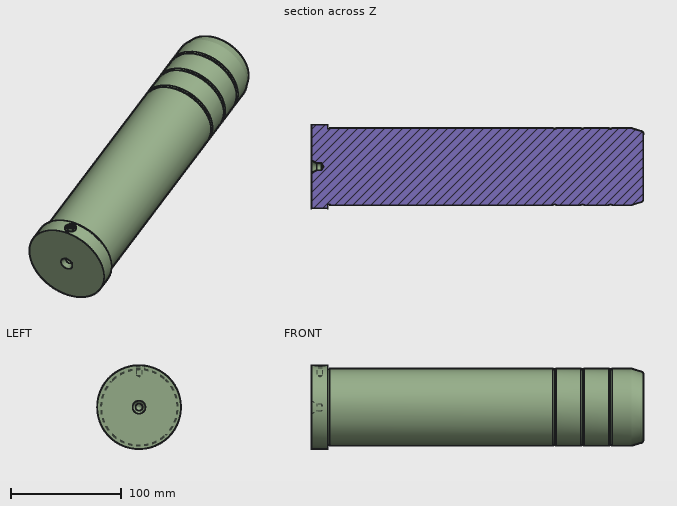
import cadquery as cq
import math

length = 300.0
head_diameter = 76.0
head_length = 15.0
shaft_diameter = 70.0

undercut_width = 1.8
undercut_depth = 0.5

groove_count = 3
groove_pitch = 25.2
first_groove_x = 219.5
groove_width = 3.0
groove_depth = 1.0

taper_length = 10.8
taper_drop = 2.5
nose_radius = 3.3

centre_mouth_diameter = 11.7
centre_drill_diameter = 6.3
centre_cone_angle = 60.0
centre_drill_depth = 9.0
drill_point_angle = 120.0

rim_hole_x = head_length / 2
rim_mouth_diameter = 10.8
rim_bore_diameter = 9.0
rim_chamfer = (rim_mouth_diameter - rim_bore_diameter) / 2
rim_bore_depth = 2.5
rim_drill_diameter = 4.8
rim_drill_depth = 9.0



def make_body():
    """Revolve the head, undercut, shaft and tapered nose about X."""
    head_r = head_diameter / 2
    shaft_r = shaft_diameter / 2
    neck_r = shaft_r - undercut_depth
    undercut_end = head_length + undercut_width
    taper_start = length - taper_length
    nose_start = length - nose_radius
    nose_r = shaft_r - taper_drop
    diagonal = nose_radius * math.sqrt(0.5)
    return (
        cq.Workplane("XY")
        .lineTo(0, head_r)
        .lineTo(head_length, head_r)
        .lineTo(head_length, neck_r)
        .lineTo(undercut_end, neck_r)
        .lineTo(undercut_end, shaft_r)
        .lineTo(taper_start, shaft_r)
        .lineTo(nose_start, nose_r)
        .threePointArc(
            (nose_start + diagonal, nose_r - nose_radius + diagonal),
            (length, nose_r - nose_radius),
        )
        .lineTo(length, 0)
        .close()
        .revolve(360, (0, 0, 0), (1, 0, 0))
    )


def make_groove(x):
    """Ring cutter with a V section, centred at x."""
    shaft_r = shaft_diameter / 2
    clear_r = shaft_r + groove_depth
    half = groove_width / 2
    return (
        cq.Workplane("XY")
        .moveTo(x - half, clear_r)
        .lineTo(x - half, shaft_r)
        .lineTo(x, shaft_r - groove_depth)
        .lineTo(x + half, shaft_r)
        .lineTo(x + half, clear_r)
        .close()
        .revolve(360, (0, 0, 0), (1, 0, 0))
    )


def make_drill(diameter, depth):
    """Plain drill along +X from the origin, ending in a drill point."""
    radius = diameter / 2
    point_length = radius / math.tan(math.radians(drill_point_angle / 2))
    return (
        cq.Workplane("XY")
        .lineTo(0, radius)
        .lineTo(depth, radius)
        .lineTo(depth + point_length, 0)
        .close()
        .revolve(360, (0, 0, 0), (1, 0, 0))
    )


def make_countersink(mouth_diameter, end_diameter, depth):
    """Cone along +X from the origin, narrowing with depth."""
    cone = cq.Solid.makeCone(
        mouth_diameter / 2, end_diameter / 2, depth, dir=cq.Vector(1, 0, 0)
    )
    return cq.Workplane(cone)


def stand_on_rim(cutter):
    """Turn a cutter from +X to -Z and put its mouth on the top of the head rim."""
    turned = cutter.rotate((0, 0, 0), (0, 1, 0), 90)
    return turned.translate((rim_hole_x, 0, head_diameter / 2))


result = make_body()

for index in range(groove_count):
    result = result.cut(make_groove(first_groove_x + index * groove_pitch))

centre_cone_depth = (centre_mouth_diameter - centre_drill_diameter) / 2 / math.tan(
    math.radians(centre_cone_angle / 2)
)
result = result.cut(make_drill(centre_drill_diameter, centre_drill_depth))
result = result.cut(
    make_countersink(centre_mouth_diameter, centre_drill_diameter, centre_cone_depth)
)

rim_bore = cq.Workplane("YZ").circle(rim_bore_diameter / 2).extrude(rim_bore_depth)
rim_cutters = [
    rim_bore,
    make_countersink(rim_mouth_diameter, rim_bore_diameter, rim_chamfer),
    make_drill(rim_drill_diameter, rim_drill_depth),
]
for cutter in rim_cutters:
    result = result.cut(stand_on_rim(cutter))